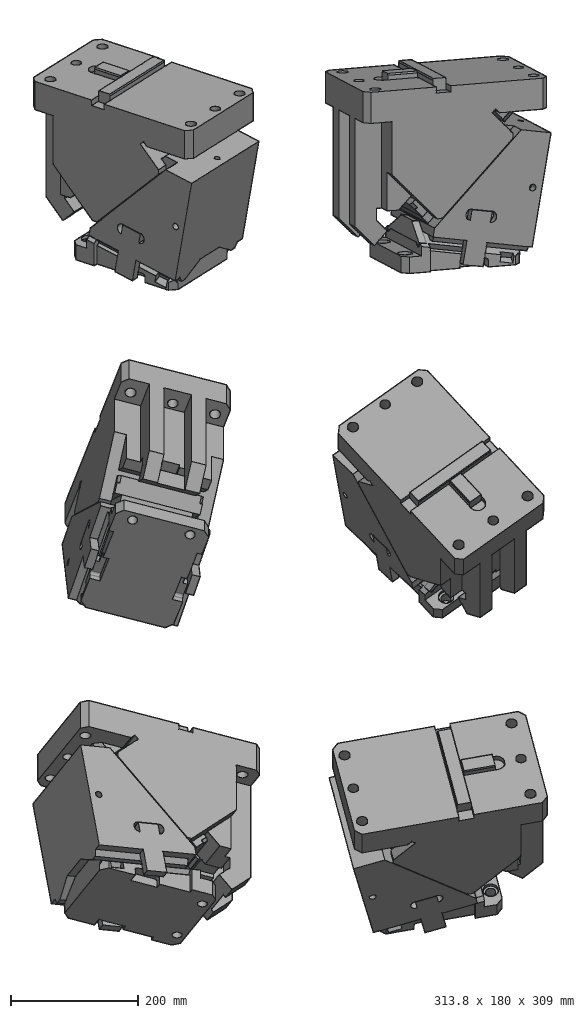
import cadquery as cq
import math


half_width = 90.0
tilt = math.radians(10)
cheek_across = 42.7
rail_across = 17.0
rail_half_width = 58.7
guide_half_width = 70.3
guide_end_along = 192.5

plate_length = 310.0
plate_top = 299.0
plate_thickness = 50.0
plate_bottom = plate_top - plate_thickness
plate_corner = 10.0
column_x = 45.0
column_bottom = 102.0
cheek_bottom = 87.2
cheek_along = 209.0
cheek_tip_x = 249.5
relief_along = 464.5
relief_end_across = -35.5
tongue_along = 476.0
tongue_side_across = 13.5
tongue_tip_across = 26.5
tongue_tip_half_width = 49.5
column_across = -37.7
block_across = -24.5
bridge_half_width = 14.7
window_top = 109.0
block_chamfer_end = -8.0
block_chamfer = (4.5, 7.2)
bridge_along = 183.5
rib_inner = 22.5
rib_outer = 46.8
rib_corner_z = 75.3
rib_tip = (32.5, 42.7)
rib_hook_length = 22
rib_neck_x = 36.5
end_hole_diameter = 17.3
middle_hole_diameter = 16.3
left_holes_x = 25
left_holes_y = 69.7
right_holes_x = 294.5
right_holes_y = 65.0
keyway_x = 120.0
keyway_width = 24.5
keyway_depth = 9.7
key_top = 309.0
key_clearance = 1.0
cross_key_half_length = 72.8
small_key_x = 69
small_key_half_width = 12.0
key_pocket_half_width = 13.0
key_pocket_end_x = 51.5
key_bevel_height = 2.8
key_bevel_width = 1.0

face_across = 44.2
slider_front = (114.5, 58.7)
slider_back_top = (313.8, 210.3)
foot_half_width = 76.5
foot_depth = 9.7
foot_bottom_y = 71.2
foot_setback = 8.0
leg_width = 34.5
leg_length = 39.0
leg_centre_u = 75.3
leg_relief_length = 52.0
leg_relief_diameter = 18.0
leg_relief_v = 41.5
leg_relief_gap = 1.0
side_hole = (282.7, 125.0)
side_hole_diameter = 10.7
drill_depth = 18.8
drill_point_angle = math.radians(118)
back_hole_x = 298
back_hole_diameter = 9.0

flange_x = 69.7
flange_height = 26.7
flange_corner = 10.5
block_x = 100.5
main_x = 115.2
rear_x = 188.3
driver_end_x = 270
driver_corner = 11.0
driver_half_width = 69
ridge_foot = (69, -14.5)
ridge_slope = 0.62
ridge_inner = 25
ridge_floor_v = -16.3
ridge_front_u = -12.0
lead_in_length = 11.3
lead_in_depth = 2.2
seat_valley = (64.0, -22.5)
seat_shoulder_y = 54.0
seat_edge_v = -25.5
bolt_x = 84.0
bolt_y = 47.5
bolt_hole_diameter = 15.7
counterbore_diameter = 24.0
counterbore_depth = 5.5
leg_pocket = (168.0, 213.5)
leg_pocket_height = 14.7
leg_pocket_inner_y = 59.5
leg_pocket_radius = 4.7
notch_u = (125.5, 147.5)
notch_v = -30.5
notch_inner = (66, -24.0)
notch_top = (71.0, -15.5)

long_run = 470.7


def on_guide(across, along):
    """Point (x, z) from its two 45 degree guide coordinates."""
    return ((along + across) / 2, (along - across) / 2)


def on_tilt(u, v):
    """Point (x, z) from distances along and above the slider's tilted underside."""
    x = slider_front[0] + u * math.cos(tilt) + v * math.sin(tilt)
    z = slider_front[1] - u * math.sin(tilt) + v * math.cos(tilt)
    return (x, z)


def tilt_u(point):
    """Distance of an (x, z) point along the tilted underside."""
    return (point[0] - slider_front[0]) * math.cos(tilt) - (point[1] - slider_front[1]) * math.sin(tilt)


def side_prism(points, y_reach):
    """Prism of an (x, z) outline, symmetric about Y = 0."""
    return cq.Workplane("XZ").polyline(points).close().extrude(y_reach, both=True)


def side_band(points, y_inner, y_outer):
    """Two mirrored prisms of an (x, z) outline, between two distances from Y = 0."""
    return side_prism(points, y_outer).cut(side_prism(points, y_inner))


def box_between(x, y, z):
    """Box given by its (low, high) limits on each axis."""
    size = (x[1] - x[0], y[1] - y[0], z[1] - z[0])
    return cq.Workplane("XY").box(*size, centered=False).translate((x[0], y[0], z[0]))


def guide_box(across, along, y_reach):
    """Box whose sides lie at 45 degrees, parallel to the guide."""
    corners = [(across[0], along[0]), (across[1], along[0]), (across[1], along[1]), (across[0], along[1])]
    return side_prism([on_guide(*corner) for corner in corners], y_reach)


def tilted_section(points, u_start, u_end):
    """Prism of a (y, v) section run along the tilted underside."""
    x, z = on_tilt(u_start, 0)
    plane = cq.Plane(
        origin=(x, 0, z),
        xDir=(0, 1, 0),
        normal=(math.cos(tilt), 0, -math.sin(tilt)),
    )
    return cq.Workplane(plane).polyline(points).close().extrude(u_end - u_start)


def mirrored(points):
    """Closed symmetric outline from the points of its +Y half."""
    return points + [(-y, v) for y, v in reversed(points)]


def ridge_v(y):
    """Height of the ridge flank at a distance from Y = 0."""
    return ridge_foot[1] + (ridge_foot[0] - y) * ridge_slope


def drilled_hole(mouth, direction, diameter):
    """Blind hole with a drill-point bottom."""
    radius = diameter / 2
    start = cq.Vector(*mouth)
    heading = cq.Vector(*direction)
    bore = cq.Solid.makeCylinder(radius, drill_depth, start, heading)
    point_length = radius / math.tan(drill_point_angle / 2)
    point = cq.Solid.makeCone(radius, 0, point_length, start + heading * drill_depth, heading)
    return cq.Workplane(bore.fuse(point))


def make_key(x, y_reach, long_axis):
    """Key standing in the plate, with its two long top edges bevelled."""
    key = box_between(x, (-y_reach, y_reach), (plate_top - keyway_depth, key_top))
    return key.faces(">Z").edges("|" + long_axis).chamfer(key_bevel_height, key_bevel_width)


def make_mount():
    plate = box_between((0, plate_length), (-half_width, half_width), (plate_bottom, plate_top))
    plate = plate.edges("|Z").chamfer(plate_corner)
    cheek_slope_top = (column_x, cheek_along - column_x)
    cheek_slope_end = (cheek_along - cheek_bottom, cheek_bottom)
    cheek_outline = [
        (column_x, plate_bottom),
        cheek_slope_top,
        cheek_slope_end,
        (cheek_bottom + cheek_across, cheek_bottom),
        (cheek_tip_x, cheek_tip_x - cheek_across),
        (cheek_tip_x, relief_along - cheek_tip_x),
        (relief_along - plate_bottom, plate_bottom),
    ]
    mount = plate.union(side_prism(cheek_outline, half_width))

    channel = guide_box((rail_across, cheek_across + 3), (0, relief_along), guide_half_width)
    mount = mount.cut(channel)
    block = guide_box((block_across, rail_across), (guide_end_along, cheek_along), guide_half_width)
    bridge = guide_box((column_across, block_across), (guide_end_along, cheek_along), bridge_half_width)
    bridge_nose = guide_box(
        (column_across, (column_across + block_across) / 2),
        (bridge_along, guide_end_along),
        bridge_half_width,
    )
    column = side_prism(
        [
            cheek_slope_top,
            (column_x, column_bottom),
            (column_bottom + column_across, column_bottom),
            on_guide(column_across, cheek_along),
        ],
        guide_half_width,
    )
    mount = mount.union(column).union(block).union(bridge).union(bridge_nose)

    window = box_between(
        (0, column_across + window_top),
        (-bridge_half_width, bridge_half_width),
        (column_bottom, window_top),
    )
    mount = mount.cut(window)
    mount = chamfer_block(mount)

    hook_end = (rib_tip[0] + rib_hook_length, rib_tip[1] + rib_hook_length)
    hook_neck = (rib_neck_x, hook_end[1] + hook_end[0] - rib_neck_x)
    rib_outline = [
        (0, plate_bottom),
        (0, rib_corner_z),
        rib_tip,
        hook_end,
        hook_neck,
        (rib_neck_x, column_bottom),
        (column_x, column_bottom),
        (column_x, plate_bottom),
    ]
    mount = mount.union(side_band(rib_outline, rib_inner, rib_outer))

    web = box_between((rib_neck_x, column_x), (-rib_inner, rib_inner), (column_bottom, plate_bottom))
    hook_web = side_prism(
        [
            hook_neck,
            (rib_neck_x, rib_tip[1] + rib_neck_x - rib_tip[0]),
            hook_end,
        ],
        rib_inner,
    )
    mount = mount.union(web.cut(window)).union(hook_web)

    relief_across = (relief_end_across, tongue_tip_across)
    mount = mount.cut(guide_box(relief_across, (relief_along, tongue_along), long_run))
    mount = mount.union(make_tongue())
    return add_plate_details(mount)


def chamfer_block(mount):
    """Chamfer the front side edges of the guide block, next to the column."""
    x, z = on_guide(block_across, 0)
    plane = cq.Plane(origin=(x, 0, z), xDir=(0, 1, 0), normal=(1, 0, -1))
    front = guide_end_along / math.sqrt(2)
    rise = block_chamfer[1] / math.sqrt(2)
    length = (block_chamfer_end - block_across) / math.sqrt(2)
    for side in (1, -1):
        section = [
            (side * guide_half_width, front),
            (side * guide_half_width, front + rise),
            (side * (guide_half_width - block_chamfer[0]), front),
        ]
        mount = mount.cut(cq.Workplane(plane).polyline(section).close().extrude(length))
    return mount


def make_tongue():
    """Tongue under the plate, bevelled along both sides of its tip."""
    outline = [
        (tongue_along - plate_bottom, plate_bottom),
        on_guide(tongue_tip_across, tongue_along),
        (plate_bottom + tongue_tip_across, plate_bottom),
    ]
    tongue = side_prism(outline, rail_half_width)
    x, z = on_guide(tongue_tip_across, 0)
    plane = cq.Plane(origin=(x, 0, z), xDir=(0, 1, 0), normal=(1, 0, 1))
    drop = (tongue_tip_across - tongue_side_across) / math.sqrt(2)
    section = mirrored(
        [
            (tongue_tip_half_width, 0),
            (rail_half_width, drop),
            (rail_half_width, long_run / 3),
        ]
    )
    return tongue.intersect(cq.Workplane(plane).polyline(section).close().extrude(long_run))


def add_plate_details(mount):
    keyway_end = keyway_x + keyway_width
    pocket_floor = plate_top - keyway_depth
    keyway = box_between((keyway_x, keyway_end), (-half_width, half_width), (pocket_floor, plate_top))
    mount = mount.cut(keyway)
    cross_key_x = (keyway_x + key_clearance, keyway_end - key_clearance)
    mount = mount.union(make_key(cross_key_x, cross_key_half_length, "Y"))

    round_x = key_pocket_end_x + key_pocket_half_width
    pocket = box_between(
        (round_x, keyway_x), (-key_pocket_half_width, key_pocket_half_width), (pocket_floor, plate_top)
    )
    round_end = cq.Workplane("XY", origin=(round_x, 0, pocket_floor)).circle(key_pocket_half_width)
    mount = mount.cut(pocket).cut(round_end.extrude(keyway_depth))
    mount = mount.union(make_key((small_key_x, keyway_x - key_clearance), small_key_half_width, "X"))

    for x, y in ((left_holes_x, left_holes_y), (right_holes_x, right_holes_y)):
        top = cq.Workplane("XY", origin=(x, 0, plate_top))
        end_holes = top.pushPoints([(0, y), (0, -y)]).circle(end_hole_diameter / 2)
        mount = mount.cut(end_holes.extrude(-plate_thickness))
        mount = mount.cut(top.circle(middle_hole_diameter / 2).extrude(-plate_thickness))
    return mount


def make_slider():
    back_u = tilt_u(slider_back_top)

    def top_z(x):
        return slider_back_top[1] + (slider_back_top[0] - x) * math.tan(tilt)

    def guide_meets_top(across):
        x = (slider_back_top[1] + slider_back_top[0] * math.tan(tilt) + across) / (1 + math.tan(tilt))
        return (x, x - across)

    front_v = (slider_front[1] + face_across - slider_front[0]) / (math.sin(tilt) - math.cos(tilt))
    body_outline = [
        slider_front,
        on_tilt(0, front_v),
        guide_meets_top(face_across),
        slider_back_top,
        on_tilt(back_u, 0),
    ]
    slider = side_prism(body_outline, half_width)

    rail_outline = [
        on_guide(face_across, guide_end_along),
        on_guide(rail_across, guide_end_along),
        guide_meets_top(rail_across),
        guide_meets_top(face_across),
    ]
    slider = slider.union(side_prism(rail_outline, rail_half_width))

    ridge_top_y = ridge_foot[0] + ridge_foot[1] / ridge_slope
    foot_inner = ridge_foot[0] + (ridge_foot[1] + foot_depth) / ridge_slope
    for side in (1, -1):
        foot_section = [
            (side * foot_half_width, 0),
            (side * foot_bottom_y, -foot_depth),
            (side * foot_inner, -foot_depth),
            (side * ridge_top_y, 0),
        ]
        slider = slider.union(tilted_section(foot_section, foot_setback, back_u))
    groove_section = mirrored([(ridge_top_y, 0), (ridge_inner, ridge_v(ridge_inner))])
    slider = slider.cut(tilted_section(groove_section, ridge_front_u, long_run))

    leg_u = (leg_centre_u - leg_width / 2, leg_centre_u + leg_width / 2)
    leg_outline = [
        on_tilt(leg_u[0], 0),
        on_tilt(leg_u[0], -leg_length),
        on_tilt(leg_u[1], -leg_length),
        on_tilt(leg_u[1], 0),
    ]
    slider = slider.union(side_band(leg_outline, foot_half_width, half_width))
    slider = slider.cut(make_leg_relief(leg_u))

    for side in (1, -1):
        mouth = (side_hole[0], side * half_width, side_hole[1])
        slider = slider.cut(drilled_hole(mouth, (0, -side, 0), side_hole_diameter))
    mouth = (back_hole_x, 0, top_z(back_hole_x))
    return slider.cut(drilled_hole(mouth, (-math.sin(tilt), 0, -math.cos(tilt)), back_hole_diameter))


def make_leg_relief(leg_u):
    """Rounded slot around the head of each leg, with the head left standing in it."""
    x, z = on_tilt(leg_centre_u, leg_relief_v)
    slot = (
        cq.Workplane("XZ", origin=(x, 0, z))
        .slot2D(leg_relief_length, leg_relief_diameter, math.degrees(-tilt))
        .extrude(half_width, both=True)
    )
    head_v = leg_relief_v + leg_relief_diameter / 2 - leg_relief_gap
    head_outline = [
        on_tilt(leg_u[0], 0),
        on_tilt(leg_u[0], head_v),
        on_tilt(leg_u[1], head_v),
        on_tilt(leg_u[1], 0),
    ]
    slot = slot.cut(side_prism(head_outline, half_width))
    return slot.cut(box_between((0, long_run), (-foot_half_width, foot_half_width), (0, long_run)))


def make_driver():
    flange = box_between((flange_x, block_x), (-foot_half_width, foot_half_width), (0, flange_height))
    flange = flange.edges("|Z and <X").chamfer(flange_corner)
    block = box_between((block_x, main_x), (-foot_half_width, foot_half_width), (0, long_run))
    main = box_between((main_x, rear_x), (-driver_half_width, driver_half_width), (0, long_run))
    rear = box_between((rear_x, driver_end_x), (-foot_half_width, foot_half_width), (0, long_run))
    rear = rear.edges("|Z and >X").chamfer(driver_corner)

    seat_top = [seat_valley, (seat_shoulder_y, ridge_floor_v)]
    wide_edge = [
        (foot_half_width, -long_run),
        (foot_half_width, ridge_v(foot_half_width)),
        ridge_foot,
    ]
    narrow_edge = [
        (driver_half_width, -long_run),
        (driver_half_width, seat_edge_v),
    ]
    wide_seat = tilted_section(mirrored(wide_edge + seat_top), -long_run, long_run)
    narrow_seat = tilted_section(mirrored(narrow_edge + seat_top), -long_run, long_run)
    block = block.intersect(wide_seat)
    main = main.intersect(narrow_seat)
    rear = rear.intersect(wide_seat)
    driver = cut_side_pockets(flange.union(block).union(main).union(rear))

    ridge_section = mirrored(
        [
            (seat_shoulder_y, ridge_floor_v),
            seat_valley,
            ridge_foot,
            (ridge_inner, ridge_v(ridge_inner)),
        ]
    )
    ridge = tilted_section(ridge_section, ridge_front_u, long_run)
    ridge = ridge.intersect(box_between((0, driver_end_x), (-half_width, half_width), (0, long_run)))
    driver = driver.union(cut_lead_ins(ridge))

    flange_top = cq.Workplane("XY", origin=(bolt_x, 0, flange_height))
    flange_top = flange_top.pushPoints([(0, bolt_y), (0, -bolt_y)])
    driver = driver.cut(flange_top.circle(bolt_hole_diameter / 2).extrude(-flange_height))
    driver = driver.cut(flange_top.circle(counterbore_diameter / 2).extrude(-counterbore_depth))
    return driver


def cut_lead_ins(ridge):
    """Ramp down the front of both ridge flanks."""
    flank_angle = math.atan(ridge_slope)
    flank_length = (ridge_foot[0] - ridge_inner) / math.cos(flank_angle)
    wedge_outline = [(0, lead_in_depth), (0, -lead_in_depth), (lead_in_length, 0)]
    x, z = on_tilt(ridge_front_u, ridge_foot[1])
    for side in (1, -1):
        up_flank = (
            math.sin(flank_angle) * math.sin(tilt),
            -side * math.cos(flank_angle),
            math.sin(flank_angle) * math.cos(tilt),
        )
        plane = cq.Plane(
            origin=(x, side * ridge_foot[0], z),
            xDir=(math.cos(tilt), 0, -math.sin(tilt)),
            normal=up_flank,
        )
        ridge = ridge.cut(cq.Workplane(plane).polyline(wedge_outline).close().extrude(flank_length))
    return ridge


def cut_side_pockets(driver):
    for side in (1, -1):
        y = sorted((side * foot_half_width, side * leg_pocket_inner_y))
        pocket = box_between(leg_pocket, y, (0, leg_pocket_height))
        driver = driver.cut(pocket.edges("|Y and >Z").fillet(leg_pocket_radius))

        notch = [
            (side * foot_half_width, notch_v),
            (side * notch_inner[0], notch_inner[1]),
            (side * notch_top[0], notch_top[1]),
            (side * foot_half_width, notch_top[1]),
        ]
        driver = driver.cut(tilted_section(notch, *notch_u))
    return driver


mount = make_mount()
slider = make_slider()
driver = make_driver()
result = cq.Compound.makeCompound([mount.val(), slider.val(), driver.val()])